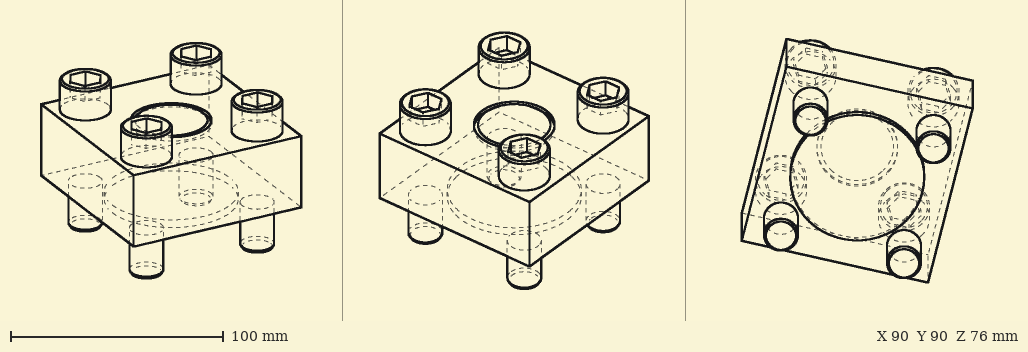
import cadquery as cq
import math

block_side = 90.0
block_height = 37.0

spigot_diameter = 63.0
spigot_height = 4.0

groove_outer_diameter = 38.0
groove_disc_diameter = 34.0
groove_depth = 2.0

screw_spacing = 59.4
shank_diameter = 16.0
shank_projection = 22.95
shank_chamfer = 1.4
shank_chamfer_inset = 0.9
head_diameter = 24.0
head_height = 16.0
head_chamfer = 1.0
socket_across_flats = 14.0
socket_depth = 8.0


def make_block():
    block = cq.Workplane("XY").box(block_side, block_side, block_height, centered=(True, True, False))
    spigot = cq.Workplane("XY").circle(spigot_diameter / 2).extrude(-spigot_height)
    return block.union(spigot)


def make_groove():
    groove_floor = block_height - groove_depth
    outer_radius = groove_outer_diameter / 2
    disc_radius = groove_disc_diameter / 2
    pocket = cq.Workplane("XY", origin=(0, 0, groove_floor)).circle(outer_radius).extrude(groove_depth)
    disc = cq.Solid.makeCone(outer_radius, disc_radius, groove_depth, pnt=cq.Vector(0, 0, groove_floor))
    return pocket.cut(cq.Workplane(disc))


def make_screw():
    head = (
        cq.Workplane("XY", origin=(0, 0, block_height))
        .circle(head_diameter / 2)
        .extrude(head_height)
        .faces(">Z")
        .edges()
        .chamfer(head_chamfer)
    )
    shank = (
        cq.Workplane("XY", origin=(0, 0, -shank_projection))
        .circle(shank_diameter / 2)
        .extrude(shank_projection + block_height)
        .faces("<Z")
        .chamfer(shank_chamfer, shank_chamfer_inset)
    )
    socket_across_corners = socket_across_flats / math.cos(math.pi / 6)
    socket = (
        cq.Workplane("XY", origin=(0, 0, block_height + head_height))
        .transformed(rotate=(0, 0, 90))
        .polygon(6, socket_across_corners)
        .extrude(-socket_depth)
    )
    return head.union(shank).cut(socket)


result = make_block().cut(make_groove())
screw = make_screw()
for x_side in (-1, 1):
    for y_side in (-1, 1):
        screw_position = (x_side * screw_spacing / 2, y_side * screw_spacing / 2, 0)
        result = result.union(screw.translate(screw_position))